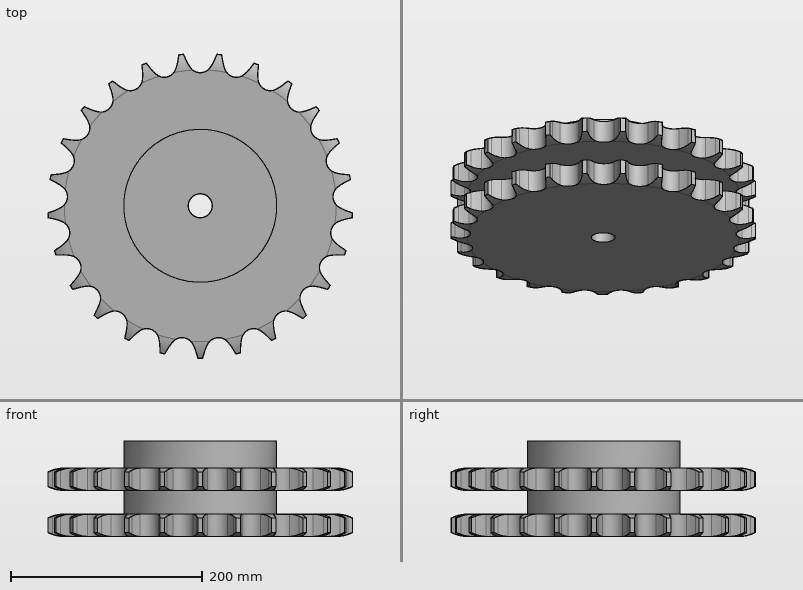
import cadquery as cq
import math


TOOTH_COUNT = 25
TIP_DIAMETER = 319.0
TIP_RADIUS = TIP_DIAMETER / 2
PITCH_RADIUS = 152.0
SEAT_RADIUS = 12.7
SEAT_HALF_ANGLE = 55.0
FLANK_END_RADIUS = 155.2
FLANK_END_WIDTH = 7.5
TIP_WIDTH = 5.0
RING_THICKNESS = 23.5
RING_SPACING = 48.0

RELIEF_START_RADIUS = 142.0
RELIEF_ARC_RADIUS = 38.2

HUB_DIAMETER = 160.0
HUB_HEIGHT = 100.0
BORE_DIAMETER = 25.0

CUT_MARGIN = 3.2

TOOTH_ANGLE = 360.0 / TOOTH_COUNT
FIRST_GAP_ANGLE = 90.0


def relieved_disc():
    """Plain disc whose rim is thinned by a tangent arc on both faces."""
    relief_width = TIP_RADIUS - RELIEF_START_RADIUS

    def relief_depth(width):
        return RELIEF_ARC_RADIUS - math.sqrt(RELIEF_ARC_RADIUS**2 - width**2)

    middle_radius = RELIEF_START_RADIUS + relief_width / 2
    middle_depth = relief_depth(relief_width / 2)
    tip_depth = relief_depth(relief_width)
    return (
        cq.Workplane("XZ")
        .lineTo(RELIEF_START_RADIUS, 0)
        .threePointArc((middle_radius, middle_depth), (TIP_RADIUS, tip_depth))
        .lineTo(TIP_RADIUS, RING_THICKNESS - tip_depth)
        .threePointArc(
            (middle_radius, RING_THICKNESS - middle_depth),
            (RELIEF_START_RADIUS, RING_THICKNESS),
        )
        .lineTo(0, RING_THICKNESS)
        .close()
        .revolve(360, (0, 0, 0), (0, 1, 0))
    )


def gap_edge_point(radius, tooth_width):
    """Upper gap edge at a radius where the neighbouring tooth has the given width."""
    angle = math.radians(TOOTH_ANGLE / 2) - math.asin(tooth_width / 2 / radius)
    return radius * math.cos(angle), radius * math.sin(angle)


def gap_cutter():
    """Tooth gap centred on +X: a round seat, tangent flank arcs and straight tooth tips."""
    seat_angle = math.radians(SEAT_HALF_ANGLE)
    seat_bottom = (PITCH_RADIUS - SEAT_RADIUS, 0)
    seat_end_x = PITCH_RADIUS - SEAT_RADIUS * math.cos(seat_angle)
    seat_end_y = SEAT_RADIUS * math.sin(seat_angle)
    flank_end_x, flank_end_y = gap_edge_point(FLANK_END_RADIUS, FLANK_END_WIDTH)
    tip_x, tip_y = gap_edge_point(TIP_RADIUS, TIP_WIDTH)
    outer_x = TIP_RADIUS + CUT_MARGIN

    run = flank_end_x - seat_end_x
    rise = flank_end_y - seat_end_y
    half_turn = math.pi / 2 - seat_angle - math.atan2(rise, run)
    bulge_ratio = math.tan(half_turn / 2) / 2
    flank_middle_x = (seat_end_x + flank_end_x) / 2 - bulge_ratio * rise
    flank_middle_y = (seat_end_y + flank_end_y) / 2 + bulge_ratio * run

    return (
        cq.Workplane("XY")
        .workplane(offset=-CUT_MARGIN)
        .moveTo(outer_x, -tip_y)
        .lineTo(tip_x, -tip_y)
        .lineTo(flank_end_x, -flank_end_y)
        .threePointArc((flank_middle_x, -flank_middle_y), (seat_end_x, -seat_end_y))
        .threePointArc(seat_bottom, (seat_end_x, seat_end_y))
        .threePointArc((flank_middle_x, flank_middle_y), (flank_end_x, flank_end_y))
        .lineTo(tip_x, tip_y)
        .lineTo(outer_x, tip_y)
        .close()
        .extrude(RING_THICKNESS + 2 * CUT_MARGIN)
    )


def toothed_ring():
    ring = relieved_disc()
    cutter = gap_cutter()
    for gap in range(TOOTH_COUNT):
        angle = FIRST_GAP_ANGLE + gap * TOOTH_ANGLE
        ring = ring.cut(cutter.rotate((0, 0, 0), (0, 0, 1), angle))
    return ring


lower_ring = toothed_ring()
upper_ring = lower_ring.translate((0, 0, RING_SPACING))
hub = cq.Workplane("XY").circle(HUB_DIAMETER / 2).extrude(HUB_HEIGHT)
bore = cq.Workplane("XY").circle(BORE_DIAMETER / 2).extrude(HUB_HEIGHT)

result = hub.union(lower_ring).union(upper_ring).cut(bore)